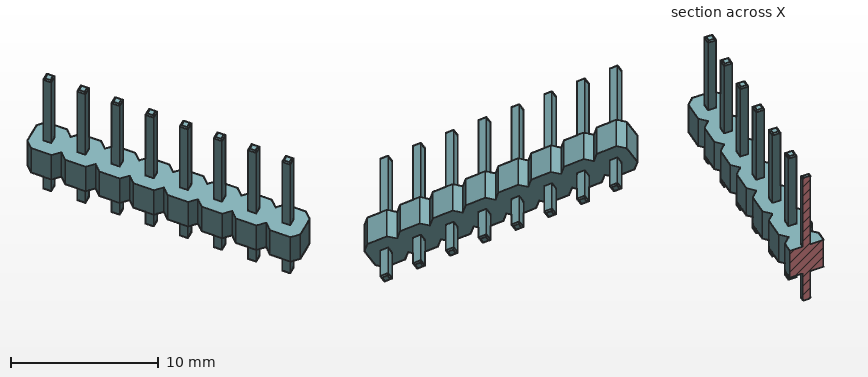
import cadquery as cq

pin_count = 8
length = 20.32
pitch = length / pin_count

housing_depth = pitch
housing_height = pitch
corner_cut = 0.5

pin_width = 0.6
pin_length = 11.45
pin_below_housing = 2.55
tip_chamfer = 0.1


def housing_segment(center_x):
    """One block of the housing with its four vertical edges bevelled."""
    return (
        cq.Workplane("XY")
        .center(center_x, 0)
        .rect(pitch, housing_depth)
        .extrude(housing_height)
        .edges("|Z")
        .chamfer(corner_cut)
    )


def pin(center_x):
    """One square pin with bevelled edges around both tips."""
    return (
        cq.Workplane("XY", origin=(center_x, 0, -pin_below_housing))
        .rect(pin_width, pin_width)
        .extrude(pin_length)
        .faces("<Z or >Z")
        .chamfer(tip_chamfer)
    )


result = cq.Workplane("XY")
for index in range(pin_count):
    pin_x = (index - (pin_count - 1) / 2) * pitch
    result = result.union(housing_segment(pin_x)).union(pin(pin_x))
result = result.clean()